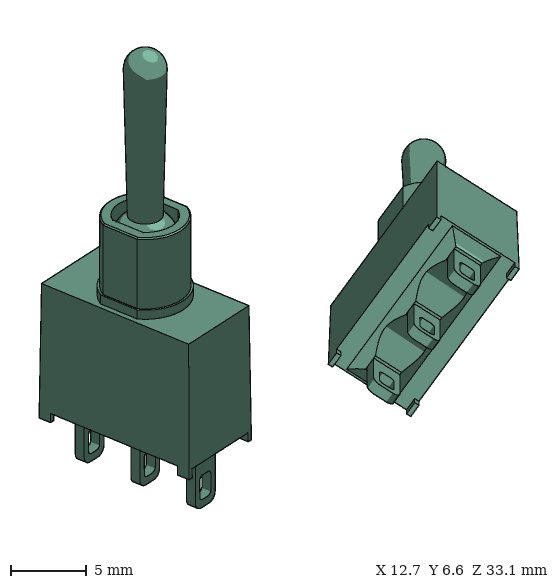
import cadquery as cq

TOP_LENGTH = 12.47
TOP_WIDTH = 6.37
BASE_LENGTH = 12.7
BASE_WIDTH = 6.6
FEET_Z = 3.98
UNDERSIDE_Z = 4.68
HOUSING_TOP_Z = 14.33
FOOT_GAP_LENGTH = 10.75
FOOT_GAP_WIDTH = 5.9

COLLAR_RADIUS = 3.18
COLLAR_FLAT_WIDTH = 5.57
COLLAR_TOP_Z = 15.02
BUSHING_RADIUS = 3.02
BUSHING_FLAT_WIDTH = 5.3
BUSHING_TOP_Z = 20.45
BUSHING_CHAMFER = 0.1
BORE_RADIUS = 2.25
BORE_FLAT_WIDTH = 3.7
BORE_FLOOR_Z = 17.57

LEVER_BASE_RADIUS = 1.2
LEVER_TIP_RADIUS = 1.45
LEVER_TOP_Z = 33.15
BALL_RADIUS = 2.25

TERMINAL_PITCH = 4.7
TERMINAL_THICKNESS = 0.75
TERMINAL_WIDTH = 2.1
TERMINAL_CORNER_RADIUS = 0.63
EYE_WIDTH = 1.15
EYE_BOTTOM_Z = 0.6
EYE_TOP_Z = 2.5
EYE_CORNER_RADIUS = 0.33

RESIN_LOW_Z = 4.08
RESIN_CREST_Z = 4.5
RESIN_REACH = 0.9
RESIN_MARGIN = 0.2
RESIN_SAG = 0.1

TERMINAL_POSITIONS = [-TERMINAL_PITCH, 0, TERMINAL_PITCH]


def double_flat(radius, flat_width, bottom_z, top_z):
    """Upright cylinder with flats on its -Y and +Y sides."""
    height = top_z - bottom_z
    cylinder = cq.Workplane("XY").workplane(offset=bottom_z).circle(radius).extrude(height)
    slab = cq.Workplane("XY").workplane(offset=bottom_z).rect(2 * radius, flat_width).extrude(height)
    return cylinder.intersect(slab)


def make_housing():
    block = (
        cq.Workplane("XY").workplane(offset=FEET_Z).rect(BASE_LENGTH, BASE_WIDTH)
        .workplane(offset=HOUSING_TOP_Z - FEET_Z).rect(TOP_LENGTH, TOP_WIDTH)
        .loft(ruled=True)
    )
    channel_height = UNDERSIDE_Z - FEET_Z
    floor = cq.Workplane("XY").workplane(offset=FEET_Z)
    long_channel = floor.rect(BASE_LENGTH, FOOT_GAP_WIDTH).extrude(channel_height)
    cross_channel = floor.rect(FOOT_GAP_LENGTH, BASE_WIDTH).extrude(channel_height)
    return block.cut(long_channel).cut(cross_channel)


def make_bushing():
    collar = double_flat(COLLAR_RADIUS, COLLAR_FLAT_WIDTH, HOUSING_TOP_Z, COLLAR_TOP_Z)
    sleeve = double_flat(BUSHING_RADIUS, BUSHING_FLAT_WIDTH, COLLAR_TOP_Z, BUSHING_TOP_Z)
    sleeve = sleeve.faces(">Z").chamfer(BUSHING_CHAMFER)
    bore = double_flat(BORE_RADIUS, BORE_FLAT_WIDTH, BORE_FLOOR_Z, BUSHING_TOP_Z)
    return collar.union(sleeve).cut(bore)


def make_lever():
    ball_drop = (BALL_RADIUS**2 - LEVER_BASE_RADIUS**2) ** 0.5
    ball_z = BUSHING_TOP_Z - ball_drop
    dome_z = LEVER_TOP_Z - LEVER_TIP_RADIUS
    dome_mid = LEVER_TIP_RADIUS * 0.5**0.5
    lever = (
        cq.Workplane("XZ").moveTo(0, ball_z)
        .lineTo(LEVER_BASE_RADIUS, ball_z)
        .lineTo(LEVER_BASE_RADIUS, BUSHING_TOP_Z)
        .lineTo(LEVER_TIP_RADIUS, dome_z)
        .threePointArc((dome_mid, dome_z + dome_mid), (0, LEVER_TOP_Z))
        .close()
        .revolve(360, (0, 0, 0), (0, 1, 0))
    )
    ball = cq.Workplane("XY").sphere(BALL_RADIUS).translate((0, 0, ball_z))
    return lever.union(ball)


def make_terminal(x):
    blade = (
        cq.Workplane("XY").box(TERMINAL_THICKNESS, TERMINAL_WIDTH, UNDERSIDE_Z, centered=(True, True, False))
        .edges("|X and <Z").fillet(TERMINAL_CORNER_RADIUS)
    )
    eye = (
        cq.Workplane("XY")
        .box(TERMINAL_THICKNESS, EYE_WIDTH, EYE_TOP_Z - EYE_BOTTOM_Z, centered=(True, True, False))
        .edges("|X").fillet(EYE_CORNER_RADIUS)
        .translate((0, 0, EYE_BOTTOM_Z))
    )
    return blade.cut(eye).translate((x, 0, 0))


def concave_end(sketch, start, end):
    """Arc from start to end that is hollowed towards the housing."""
    middle = (
        (start[0] + end[0]) / 2,
        (start[1] + end[1]) / 2 + RESIN_SAG,
    )
    return sketch.threePointArc(middle, end)


def make_resin():
    land = TERMINAL_THICKNESS / 2 + RESIN_MARGIN
    end_x = TERMINAL_PITCH + land + RESIN_REACH
    arches = cq.Workplane("XZ").moveTo(-end_x, UNDERSIDE_Z)
    arches = concave_end(arches, (-end_x, UNDERSIDE_Z), (-TERMINAL_PITCH - land, RESIN_LOW_Z))
    for x in TERMINAL_POSITIONS[:-1]:
        arches = arches.lineTo(x + land, RESIN_LOW_Z).threePointArc(
            (x + TERMINAL_PITCH / 2, RESIN_CREST_Z), (x + TERMINAL_PITCH - land, RESIN_LOW_Z)
        )
    arches = arches.lineTo(TERMINAL_PITCH + land, RESIN_LOW_Z)
    arches = concave_end(arches, (TERMINAL_PITCH + land, RESIN_LOW_Z), (end_x, UNDERSIDE_Z))
    lengthwise = arches.close().extrude(BASE_WIDTH / 2, both=True)

    foot_y = TERMINAL_WIDTH / 2
    edge_y = foot_y + RESIN_REACH
    ridge = cq.Workplane("YZ").moveTo(-edge_y, UNDERSIDE_Z)
    ridge = concave_end(ridge, (-edge_y, UNDERSIDE_Z), (-foot_y, RESIN_LOW_Z))
    ridge = ridge.lineTo(foot_y, RESIN_LOW_Z)
    ridge = concave_end(ridge, (foot_y, RESIN_LOW_Z), (edge_y, UNDERSIDE_Z))
    crosswise = ridge.close().extrude(BASE_LENGTH / 2, both=True)
    return lengthwise.intersect(crosswise)


result = make_housing().union(make_bushing()).union(make_lever()).union(make_resin())
for terminal_x in TERMINAL_POSITIONS:
    result = result.union(make_terminal(terminal_x))